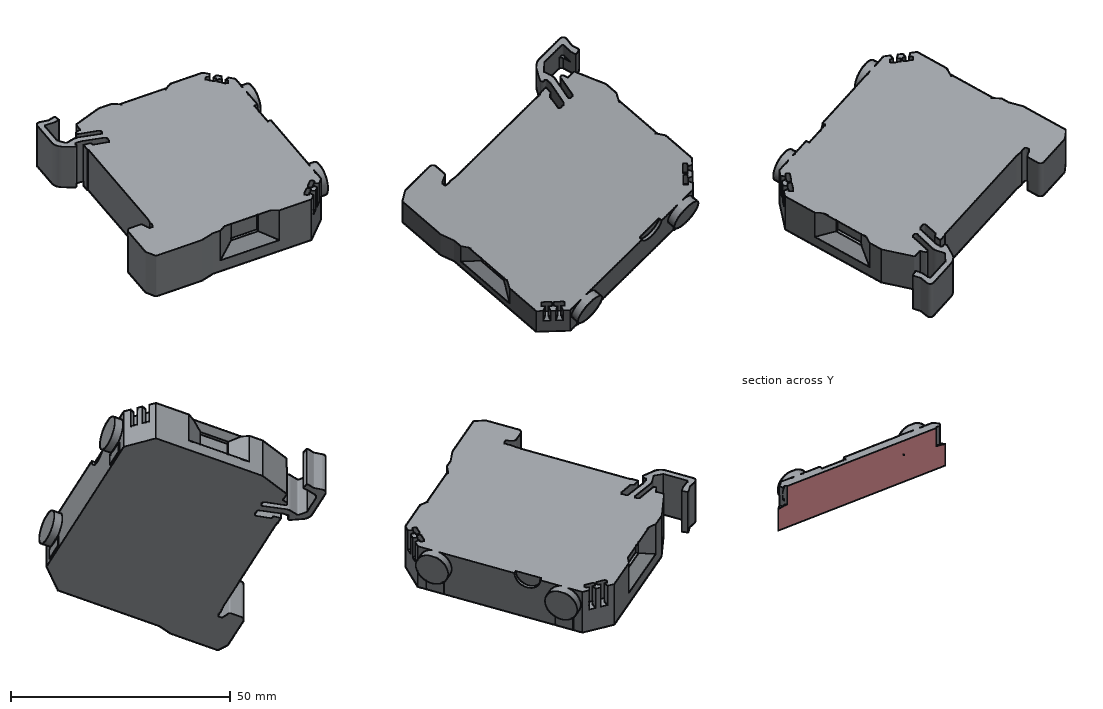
import cadquery as cq
import math

length = 55.05
width = 12.0
depth = 49.8
rail_seat_y = 6.1
body_top = 47.75
body_left = 2.05
body_right = 54.05
body_middle = (body_left + body_right) / 2
corner_cut = 5.5

hook_floor = 1.45
hook_wall = 1.6
hook_lean = 0.1
slit_top = 11.85
web_reach = 1.1
web_height = 2.55
web_bend = 0.65
web_overlap = 0.55
web_top = width / 2

foot_left = 43.4
rail_notch_x = 45.5
seat_edge_y = 5.9
seat_relief = 0.1

screw_offset = 16.05
screw_diameter = 8.05
screw_flat = 1.8
screw_height = depth - body_top
screw_z = width - math.sqrt(screw_diameter**2 - screw_flat**2) / 2

recess_x = 21.3
recess_diameter = 6.4
recess_depth = 0.8

entry_y = 26.3
entry_mouth = (15.3, 9.7)
entry_floor = (7.05, 4.85)
entry_depth = 2.55
entry_well_depth = 0.7

marker_pitch = 2.85
marker_mouth = 1.65
marker_neck = 0.75
marker_neck_depth = 1.1
marker_depth = 2.2
marker_head = 2.55
marker_head_radius = 0.45
marker_height = 5.35
marker_mouth_drop = 0.35

tab_length = 4.4
tab_bottom = 0.35
tab_top = 3.65
tab_height = 0.35


def rounded_outline(corners):
    """Closed outline through (x, y, radius) corners; radius 0 leaves the corner sharp."""
    outline = None
    for i, (x, y, radius) in enumerate(corners):
        corner = cq.Vector(x, y)
        before = cq.Vector(*corners[i - 1][:2])
        after = cq.Vector(*corners[(i + 1) % len(corners)][:2])
        to_before = (before - corner).normalized()
        to_after = (after - corner).normalized()
        half_angle = to_before.getAngle(to_after) / 2
        setback = radius / math.tan(half_angle)
        start = corner + to_before * setback
        if outline is None:
            outline = cq.Workplane("XY").moveTo(start.x, start.y)
        else:
            outline = outline.lineTo(start.x, start.y)
        if radius > 0:
            bisector = (to_before + to_after).normalized()
            middle = corner + bisector * (radius / math.sin(half_angle) - radius)
            end = corner + to_after * setback
            outline = outline.threePointArc((middle.x, middle.y), (end.x, end.y))
    return outline.close()


def make_body():
    hook_outside = [
        (0, 5.1, 0),
        (0, 4.7, 0),
        (0.4, 3.2, 0.35),
        (0, 1.25, 0),
        (0, 0, 0.95),
        (9.35, 0, 2.75),
        (11.8, 3.95, 0.35),
        (11.45, 4.5, 0.2),
        (10.55, 4.5, 0.35),
        (10.55, 6.05, 0.55),
    ]
    inner_slit = [
        (12.1, slit_top, 0.45),
        (13.9, slit_top, 0.45),
        (13.0, 7.9, 0.3),
        (12.2, 7.7, 0.2),
        (12.0, 5.95, 0),
        (13.9, 5.95, 0),
        (14.05, rail_seat_y, 0),
    ]
    foot = [
        (42.2, rail_seat_y, 0),
        (43.9, seat_edge_y, 0),
        (44.45, seat_edge_y + seat_relief, 0),
        (rail_notch_x, seat_edge_y, 0.35),
        (rail_notch_x, 4.85, 0.15),
        (foot_left, 3.95, 0.45),
        (foot_left, 0, 1.05),
        (52.6, 0, 0.65),
        (length, 1.4, 0.5),
        (length, 13.35, 0),
    ]
    upper_body = [
        (body_right, 16.7, 0),
        (body_right, body_top - corner_cut, 0),
        (body_right - corner_cut, body_top, 0),
        (body_left + corner_cut, body_top, 0),
        (body_left, body_top - corner_cut, 0),
        (body_left, 15.35, 0),
    ]
    outer_slit = [
        (4.75, 7.9, 0.35),
        (6.8, 7.9, 0),
        (6.95, 7.4, 0),
        (7.25, 6.5, 0.3),
        (7.9, 6.55, 0.35),
        (9.25, slit_top, 0.45),
        (10.55, slit_top, 0.45),
        (8.85, 5.5, 2.5),
    ]
    hook_inside = [
        (9.5, 2.85, 0.55),
        (7.7, hook_floor, 0),
        (hook_wall, hook_floor, 0.35),
        (hook_wall + hook_lean, hook_floor + web_height, 0),
        (1.45, 5.4, 0),
    ]
    corners = hook_outside + inner_slit + foot + upper_body + outer_slit + hook_inside
    return rounded_outline(corners).extrude(width)


def make_hook_web():
    """Low web that stiffens the inner corner of the hook."""
    root_x = hook_wall - web_overlap
    root_y = hook_floor - web_overlap
    web = [
        (root_x, root_y),
        (hook_wall + web_reach, root_y),
        (hook_wall + web_reach, hook_floor),
        (hook_wall + web_reach / 2, hook_floor + web_bend),
        (hook_wall + hook_lean, hook_floor + web_height),
        (root_x, hook_floor + web_height),
    ]
    return cq.Workplane("XY").polyline(web).close().extrude(web_top)


def make_screw(x):
    """Screw head cut flush with the top face, and the tab under it."""
    head = (
        cq.Workplane("XZ", origin=(x, body_top, screw_z))
        .circle(screw_diameter / 2)
        .extrude(-screw_height)
    )
    above = cq.Workplane("XY", origin=(x, body_top, width)).rect(length, length).extrude(width)
    tab = (
        cq.Workplane("XY", origin=(x, body_top, tab_bottom))
        .box(tab_length, tab_height, tab_top - tab_bottom, centered=(True, False, False))
    )
    return head.cut(above).union(tab)


def make_wire_entry():
    """Tapered funnel into the left side, ending in a shallow straight well."""
    side = cq.Workplane("YZ", origin=(body_left, entry_y, screw_z))
    funnel = (
        side.rect(*entry_mouth)
        .workplane(offset=entry_depth)
        .rect(*entry_floor)
        .loft(combine=True)
    )
    well = side.rect(*entry_floor).extrude(entry_depth + entry_well_depth)
    return funnel.union(well)


def make_marker_slots():
    """Pair of T-slots across the left cut corner, open to the top face."""
    neck_outline = [
        (-marker_mouth / 2, 0),
        (marker_mouth / 2, 0),
        (marker_neck / 2, -marker_neck_depth),
        (-marker_neck / 2, -marker_neck_depth),
    ]
    head_width = marker_depth - marker_neck_depth
    neck = (
        cq.Workplane("XY")
        .workplane(offset=-marker_mouth_drop)
        .polyline(neck_outline)
        .close()
        .extrude(marker_height + marker_mouth_drop)
    )
    floor_wedge = [
        (0, -marker_mouth_drop),
        (-marker_neck_depth, -marker_mouth_drop),
        (-marker_neck_depth, 0),
    ]
    neck_floor = (
        cq.Workplane("YZ")
        .polyline(floor_wedge)
        .close()
        .extrude(marker_mouth, both=True)
    )
    head = (
        cq.Workplane("XY")
        .center(0, -marker_neck_depth - head_width / 2)
        .rect(marker_head, head_width)
        .extrude(marker_height)
        .edges("|Z")
        .fillet(marker_head_radius)
    )
    slot = neck.cut(neck_floor).union(head)
    pair = slot.translate((-marker_pitch / 2, 0, 0)).union(slot.translate((marker_pitch / 2, 0, 0)))
    corner_middle = (body_left + corner_cut / 2, body_top - corner_cut / 2, width - marker_height)
    return pair.rotate((0, 0, 0), (0, 0, 1), 45).translate(corner_middle)


def mirrored(shape):
    """Copy of the shape on the other side of the body's middle plane."""
    return shape.mirror("YZ", (body_middle, 0, 0))


recess = (
    cq.Workplane("XZ", origin=(recess_x, body_top, width))
    .circle(recess_diameter / 2)
    .extrude(recess_depth)
)

result = make_body().union(make_hook_web()).cut(recess)
for side_cut in (make_wire_entry(), make_marker_slots()):
    result = result.cut(side_cut).cut(mirrored(side_cut))
for screw_x in (body_middle - screw_offset, body_middle + screw_offset):
    result = result.union(make_screw(screw_x))